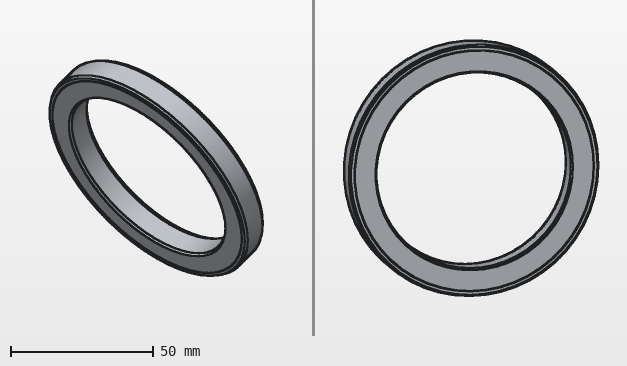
import cadquery as cq

WIDTH = 10.1
OUTER_RADIUS = 45.0
BORE_RADIUS = 35.0

INNER_RING_OUTER_RADIUS = 43.0
RUNNING_GAP = 0.135
OUTER_RING_INNER_RADIUS = INNER_RING_OUTER_RADIUS + RUNNING_GAP

CHAMFER_RADIAL = 0.58
CHAMFER_AXIAL = 1.0


def revolve_ring(gap_radius, chamfered_radius, face_radius):
    """Ring from a plain wall at gap_radius to a wall at chamfered_radius.

    The flat faces run from gap_radius to face_radius, where the chamfers start.
    """
    face_y = WIDTH / 2
    chamfer_y = face_y - CHAMFER_AXIAL
    profile = [
        (gap_radius, -face_y),
        (face_radius, -face_y),
        (chamfered_radius, -chamfer_y),
        (chamfered_radius, chamfer_y),
        (face_radius, face_y),
        (gap_radius, face_y),
    ]
    return cq.Workplane("XY").polyline(profile).close().revolve(360, (0, 0), (0, 1))


def make_outer_ring():
    """Thin outer ring, chamfered on both edges of its rim."""
    return revolve_ring(OUTER_RING_INNER_RADIUS, OUTER_RADIUS, OUTER_RADIUS - CHAMFER_RADIAL)


def make_inner_ring():
    """Thick inner ring, chamfered on both edges of its bore."""
    return revolve_ring(INNER_RING_OUTER_RADIUS, BORE_RADIUS, BORE_RADIUS + CHAMFER_RADIAL)


outer_ring = make_outer_ring()
inner_ring = make_inner_ring()

result = cq.Compound.makeCompound([outer_ring.val(), inner_ring.val()])